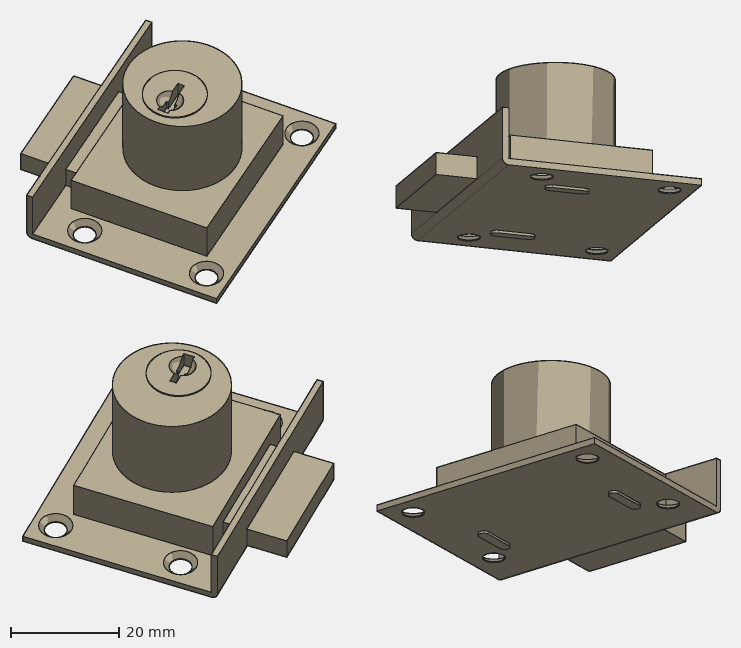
import cadquery as cq

PLATE_LENGTH = 39.0
PLATE_WIDTH = 50.0
SHEET = 1.25
FLANGE_HEIGHT = 11.0
BEND_RADIUS = SHEET

SCREW_CENTER_X = 22.0
SCREW_SPACING_X = 25.0
SCREW_SPACING_Y = 40.0
SCREW_DIAMETER = 4.2
SINK_DIAMETER = 6.3
SINK_ANGLE = 90.0

CASE_START_X = 4.75
CASE_LENGTH = 27.85
CASE_WIDTH = 32.0
CASE_TOP = 8.75

TAB_CENTER_X = 16.25
TAB_LENGTH = 8.5
TAB_WIDTH = 2.1
TAB_PROJECTION = 0.5
TAB_OFFSET_Y = (CASE_WIDTH - TAB_WIDTH) / 2

BARREL_X = 19.5
BARREL_Y = 0.5
BARREL_DIAMETER = 22.0
BARREL_TOP = 25.75
PLUG_Y = -2.65
PLUG_DIAMETER = 12.0
PLUG_TOP = 26.0

KEY_NARROW_WIDTH = 1.3
KEY_WIDE_WIDTH = 2.1
KEY_END_Y = 2.6
KEY_STEP_Y = -1.4
KEY_START_Y = -5.0
KEY_DEPTH = 3.0
DISH_Y = -1.95
DISH_RADIUS = 2.5
DISH_DEPTH = 1.5

BOLT_PROJECTION = 8.0
BOLT_WIDTH = 22.2
BOLT_HEIGHT = 4.25


def block(x_start, x_end, y_start, y_end, z_start, z_end):
    """Axis-aligned block between the given limits."""
    size = (x_end - x_start, y_end - y_start, z_end - z_start)
    return cq.Workplane("XY").box(*size, centered=False).translate((x_start, y_start, z_start))


def make_bolt():
    """Flat bolt from its free end to the wall of the case, resting on the plate."""
    return block(
        -BOLT_PROJECTION, CASE_START_X, -BOLT_WIDTH / 2, BOLT_WIDTH / 2, SHEET, SHEET + BOLT_HEIGHT
    )


def make_tabs():
    """Two round-ended tabs through the plate, flush with the sides of the case."""
    return (
        cq.Workplane("XY", origin=(TAB_CENTER_X, 0, -TAB_PROJECTION))
        .pushPoints([(0, -TAB_OFFSET_Y), (0, TAB_OFFSET_Y)])
        .slot2D(TAB_LENGTH, TAB_WIDTH)
        .extrude(TAB_PROJECTION + SHEET)
    )


def make_plate():
    """Bent mounting plate with screw holes and openings for the bolt and tabs."""
    base = block(0, PLATE_LENGTH, -PLATE_WIDTH / 2, PLATE_WIDTH / 2, 0, SHEET)
    flange = block(0, SHEET, -PLATE_WIDTH / 2, PLATE_WIDTH / 2, 0, FLANGE_HEIGHT)
    corner = block(0, BEND_RADIUS, -PLATE_WIDTH / 2, PLATE_WIDTH / 2, 0, BEND_RADIUS)
    bend = (
        cq.Workplane("XZ", origin=(BEND_RADIUS, PLATE_WIDTH / 2, BEND_RADIUS))
        .circle(BEND_RADIUS)
        .extrude(PLATE_WIDTH)
    )
    plate = base.union(flange).cut(corner.cut(bend))
    plate = plate.cut(make_bolt()).cut(make_tabs())
    return (
        plate.copyWorkplane(cq.Workplane("XY", origin=(SCREW_CENTER_X, 0, SHEET)))
        .rarray(SCREW_SPACING_X, SCREW_SPACING_Y, 2, 2)
        .cskHole(SCREW_DIAMETER, SINK_DIAMETER, SINK_ANGLE)
    )


def make_keyway():
    """Stepped key slot and the spherical dish around it."""
    floor = PLUG_TOP - KEY_DEPTH
    narrow_half = KEY_NARROW_WIDTH / 2
    wide_half = KEY_WIDE_WIDTH / 2
    narrow = block(-narrow_half, narrow_half, KEY_STEP_Y, KEY_END_Y, floor, PLUG_TOP)
    wide = block(-wide_half, wide_half, KEY_START_Y, KEY_STEP_Y, floor, PLUG_TOP)
    sphere_radius = (DISH_RADIUS**2 + DISH_DEPTH**2) / (2 * DISH_DEPTH)
    sphere_z = PLUG_TOP - DISH_DEPTH + sphere_radius
    dish = cq.Workplane("XY").sphere(sphere_radius).translate((0, DISH_Y, sphere_z))
    return narrow.union(wide).union(dish).translate((BARREL_X, PLUG_Y, 0))


def make_lock():
    """Lock case with its tabs, barrel and slightly raised plug face."""
    case = block(
        CASE_START_X, CASE_START_X + CASE_LENGTH, -CASE_WIDTH / 2, CASE_WIDTH / 2, SHEET, CASE_TOP
    )
    barrel = (
        cq.Workplane("XY", origin=(BARREL_X, BARREL_Y, CASE_TOP))
        .circle(BARREL_DIAMETER / 2)
        .extrude(BARREL_TOP - CASE_TOP)
    )
    plug = (
        cq.Workplane("XY", origin=(BARREL_X, PLUG_Y, BARREL_TOP))
        .circle(PLUG_DIAMETER / 2)
        .extrude(PLUG_TOP - BARREL_TOP)
    )
    return case.union(make_tabs()).union(barrel).union(plug).cut(make_keyway())


plate = make_plate()
lock = make_lock()
bolt = make_bolt()

result = cq.Compound.makeCompound([plate.val(), lock.val(), bolt.val()])